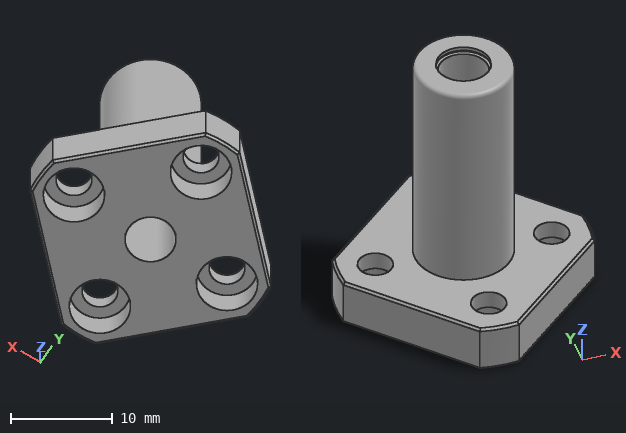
import cadquery as cq

flange_diameter = 26.0
flange_width = 21.0
flange_thickness = 5.0
flange_chamfer = 0.25

total_height = 28.0
post_diameter = 10.0
post_top_fillet = 0.5

bore_diameter = 5.0
mouth_diameter = 5.4
mouth_depth = 0.4
groove_diameter = 5.8
groove_width = 0.3

screw_circle_diameter = 18.0
screw_count = 4
screw_hole_diameter = 3.5
counterbore_diameter = 6.0
counterbore_depth = 3.1


def make_cylinder(diameter, height, bottom=0.0):
    """Upright cylinder on the part axis, starting at the given height."""
    return cq.Workplane("XY", origin=(0, 0, bottom)).circle(diameter / 2).extrude(height)


def make_flange():
    """Square plate with its corners on the X and Y axes, trimmed by a circle."""
    square = (
        cq.Workplane("XY")
        .rect(flange_width, flange_width)
        .extrude(flange_thickness)
        .rotate((0, 0, 0), (0, 0, 1), 45)
    )
    disc = make_cylinder(flange_diameter, flange_thickness)
    return square.intersect(disc).faces("<Z or >Z").edges().chamfer(flange_chamfer)


def make_post():
    """Round post from the base plane to the top, with a rounded upper rim."""
    post = make_cylinder(post_diameter, total_height)
    return post.faces(">Z").edges().fillet(post_top_fillet)


def make_bore():
    """Cutter for the through bore, the groove near its upper end and the mouth above it."""
    groove_bottom = total_height - mouth_depth - groove_width
    return (
        make_cylinder(bore_diameter, total_height)
        .union(make_cylinder(groove_diameter, groove_width, groove_bottom))
        .union(make_cylinder(mouth_diameter, mouth_depth, total_height - mouth_depth))
    )


def make_screw_ring(diameter, height):
    """Equally spaced upright cylinders on the screw circle, rising from the base plane."""
    centres = cq.Workplane("XY").polarArray(screw_circle_diameter / 2, 0, 360, screw_count)
    return centres.circle(diameter / 2).extrude(height)


def make_screw_holes():
    """Cutter for the through screw holes and their counterbores."""
    holes = make_screw_ring(screw_hole_diameter, flange_thickness)
    return holes.union(make_screw_ring(counterbore_diameter, counterbore_depth))


result = make_flange().union(make_post()).cut(make_bore()).cut(make_screw_holes())